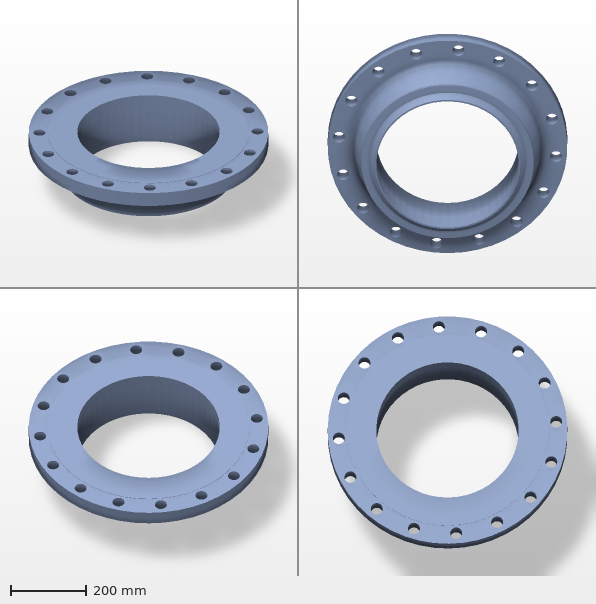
import cadquery as cq

total_height = 141.5
raised_face_height = 1.0
flange_underside_z = -40.5
neck_bottom_z = -117.0
weld_band_bottom_z = -125.0
bevel_break_z = -127.0

flange_radius = 317.5
raised_face_radius = 267.0
neck_top_radius = 251.5
weld_band_radius = 228.5
bevel_break_radius = 207.0
weld_tip_radius = 193.0
bore_radius = 188.5

neck_fillet_radius = 14.0
root_search_margin = 0.5

bolt_count = 16
bolt_circle_radius = 289.0
bolt_hole_diameter = 32.0


def neck_body():
    """Revolve the flange, tapered neck and double weld bevel, with the bore open."""
    profile = [
        (bore_radius, 0),
        (raised_face_radius, 0),
        (raised_face_radius, -raised_face_height),
        (flange_radius, -raised_face_height),
        (flange_radius, flange_underside_z),
        (neck_top_radius, flange_underside_z),
        (weld_band_radius, neck_bottom_z),
        (weld_band_radius, weld_band_bottom_z),
        (bevel_break_radius, bevel_break_z),
        (weld_tip_radius, -total_height),
        (bore_radius, -total_height),
    ]
    return cq.Workplane("XZ").polyline(profile).close().revolve(360, (0, 0, 0), (0, 1, 0))


def round_neck_root(body):
    """Blend the neck into the underside of the flange."""
    reach = neck_top_radius + root_search_margin
    root_zone = cq.selectors.BoxSelector(
        (-reach, -reach, flange_underside_z - root_search_margin),
        (reach, reach, flange_underside_z + root_search_margin),
        boundingbox=True,
    )
    return body.edges("%CIRCLE").edges(root_zone).fillet(neck_fillet_radius)


def bolt_holes():
    """Cutters for the bolt circle, with one hole on the X axis."""
    return (
        cq.Workplane("XY")
        .polarArray(bolt_circle_radius, 0, 360, bolt_count)
        .circle(bolt_hole_diameter / 2)
        .extrude(-total_height)
    )


result = round_neck_root(neck_body()).cut(bolt_holes())